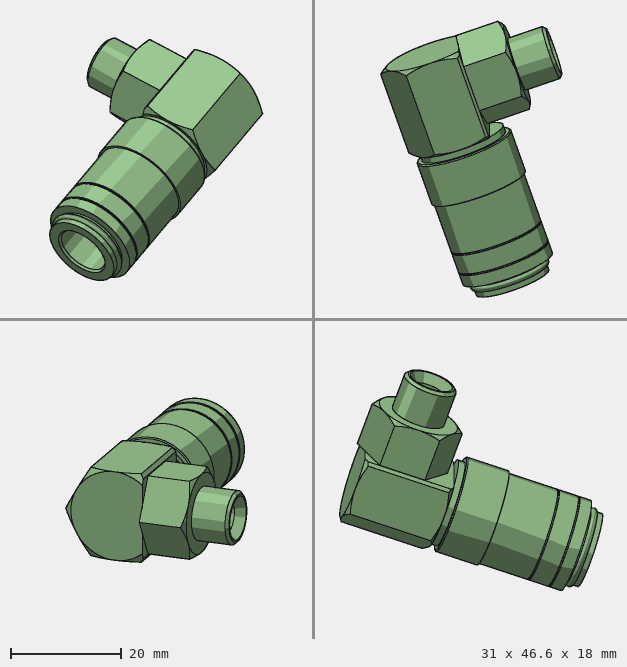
import cadquery as cq
import math


body_flats = 17.0
body_back = 7.12
body_front = -9.85
body_side = -5.4

nut_flats = 15.0
nut_outer = -14.1
port_end = -21.2
port_radius = 5.0
port_chamfer = 0.55

neck_radius = 8.0
collar_start = -11.15
collar_end = -19.25
collar_radius = 9.01
collar_chamfer = 0.25
sleeve_radius = 8.6
sleeve_end = -35.2
groove_places = (-28.85, -32.82)
groove_width = 0.3
groove_depth = 0.2
tip_radius = 7.0
tip_end = -37.9
bead_centre = -36.25
bead_radius = 0.6
bead_outer_radius = 7.5

passage_radius = 3.0
passage_back = 3.0
port_mouth_radius = 4.05
port_mouth_depth = 1.85
bore_radius = 4.75
bore_mouth_radius = 5.08
bore_mouth_depth = 0.45
bore_end = -19.25

CHAMFER_SLOPE = math.tan(math.radians(30))


def turned_y(points):
    """Revolve a closed (radius, y) outline about the Y axis."""
    return cq.Workplane("XY").polyline(points).close().revolve(360, (0, 0, 0), (0, 1, 0))


def turned_x(points):
    """Revolve a closed (x, radius) outline about the X axis."""
    return cq.Workplane("XY").polyline(points).close().revolve(360, (0, 0, 0), (1, 0, 0))


def corner_radius(flats):
    return flats / math.sqrt(3)


def chamfer_length(flats):
    """Axial length of a 30 degree chamfer starting from the inscribed circle."""
    return (corner_radius(flats) - flats / 2) * CHAMFER_SLOPE


def make_body():
    corner = corner_radius(body_flats)
    chamfer = chamfer_length(body_flats)
    length = body_back - body_front
    hexagon = (
        cq.Workplane("XZ", origin=(0, body_back, 0))
        .polygon(6, 2 * corner)
        .extrude(length)
    )
    envelope = turned_y([
        (0, body_front),
        (body_flats / 2, body_front),
        (corner, body_front + chamfer),
        (corner, body_back - chamfer),
        (body_flats / 2, body_back),
        (0, body_back),
    ])
    kept_side = cq.Workplane("XY").box(
        corner - body_side, length, body_flats, centered=(False, False, True)
    ).translate((body_side, body_front, 0))
    return hexagon.intersect(envelope).intersect(kept_side)


def make_nut():
    corner = corner_radius(nut_flats)
    hexagon = (
        cq.Workplane("YZ", origin=(nut_outer, 0, 0))
        .polygon(6, 2 * corner)
        .extrude(body_side - nut_outer)
    )
    envelope = turned_x([
        (nut_outer, 0),
        (nut_outer, nut_flats / 2),
        (nut_outer + chamfer_length(nut_flats), corner),
        (body_side, corner),
        (body_side, 0),
    ])
    return hexagon.intersect(envelope)


def make_port():
    return turned_x([
        (port_end, 0),
        (port_end, port_radius - port_chamfer),
        (port_end + port_chamfer, port_radius),
        (nut_outer, port_radius),
        (nut_outer, 0),
    ])


def make_sleeve():
    sleeve = turned_y([
        (0, body_front),
        (neck_radius, body_front),
        (neck_radius, collar_start),
        (collar_radius - collar_chamfer, collar_start),
        (collar_radius, collar_start - collar_chamfer),
        (collar_radius, collar_end),
        (sleeve_radius, collar_end),
        (sleeve_radius, sleeve_end),
        (tip_radius, sleeve_end),
        (tip_radius, tip_end),
        (0, tip_end),
    ])
    bead = (
        cq.Workplane("XY")
        .center(bead_outer_radius - bead_radius, bead_centre)
        .circle(bead_radius)
        .revolve(360, (bead_radius - bead_outer_radius, 0, 0), (bead_radius - bead_outer_radius, 1, 0))
    )
    sleeve = sleeve.union(bead)
    for place in groove_places:
        top = place + groove_width / 2
        bottom = place - groove_width / 2
        floor = sleeve_radius - groove_depth
        groove = turned_y([
            (floor, bottom),
            (collar_radius, bottom),
            (collar_radius, top),
            (floor, top),
        ])
        sleeve = sleeve.cut(groove)
    return sleeve


def make_passages():
    port_passage = turned_x([
        (port_end, 0),
        (port_end, port_mouth_radius),
        (port_end + port_mouth_depth, passage_radius),
        (0, passage_radius),
        (0, 0),
    ])
    sleeve_passage = turned_y([
        (0, tip_end),
        (bore_mouth_radius, tip_end),
        (bore_radius, tip_end + bore_mouth_depth),
        (bore_radius, bore_end),
        (passage_radius, bore_end),
        (passage_radius, passage_back),
        (0, passage_back),
    ])
    return port_passage.union(sleeve_passage)


result = (
    make_body()
    .union(make_nut())
    .union(make_port())
    .union(make_sleeve())
    .cut(make_passages())
)